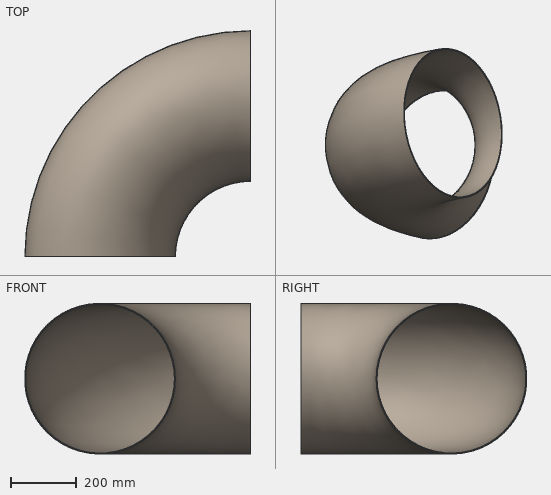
import cadquery as cq

outer_diameter = 457.2
wall_thickness = 3.0
bend_radius = 457.0
bend_angle = 90.0

outer_radius = outer_diameter / 2
inner_radius = outer_radius - wall_thickness


def make_elbow():
    """Revolve the tube's ring section from the -Y facing end to the +X facing end."""
    ring_section = (
        cq.Workplane("XZ")
        .center(-bend_radius, 0)
        .circle(outer_radius)
        .circle(inner_radius)
    )
    axis_start = (bend_radius, 0)
    axis_end = (bend_radius, -1)
    return ring_section.revolve(bend_angle, axis_start, axis_end)


result = make_elbow()